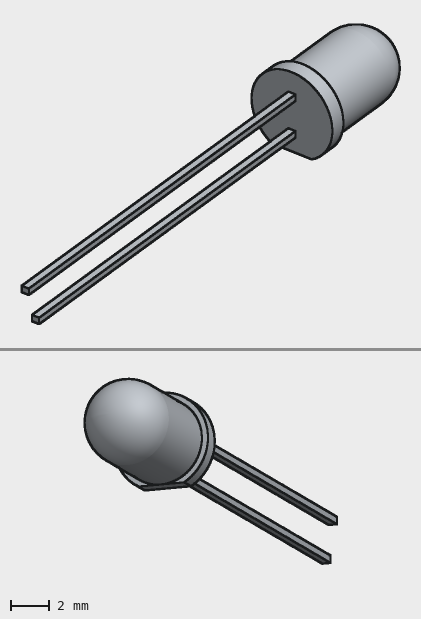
import cadquery as cq

total_length = 30.73
flange_diameter = 5.2
flange_thickness = 0.95
flange_height = 4.85
head_length = 7.77

flange_radius = flange_diameter / 2
lens_radius = flange_height - flange_radius
lens_length = head_length - lens_radius

lead_width = 0.45
lead_thickness = 0.4
lead_spacing = 2.25
long_lead_length = total_length - head_length
lead_length_difference = 0.9
short_lead_length = long_lead_length - lead_length_difference


def make_lens():
    """Cylinder along +Y from the base plane, closed by a hemispherical dome."""
    return (
        cq.Workplane("XY")
        .lineTo(lens_radius, 0)
        .lineTo(lens_radius, lens_length)
        .radiusArc((0, head_length), -lens_radius)
        .close()
        .revolve(360, (0, 0, 0), (0, 1, 0))
    )


def make_flange():
    """Round base disc with a flat on its -Z side."""
    disc = cq.Workplane("XZ").circle(flange_radius).extrude(-flange_thickness)
    trim = cq.Workplane("XY").box(
        flange_diameter, flange_thickness, flange_height, centered=(True, False, False)
    )
    return disc.intersect(trim.translate((0, 0, -lens_radius)))


def make_lead(height, length):
    """Rectangular lead running toward -Y from the base plane."""
    return cq.Workplane("XZ").center(0, height).rect(lead_width, lead_thickness).extrude(length)


result = make_lens().union(make_flange())
for lead_height, lead_length in (
    (lead_spacing / 2, long_lead_length),
    (-lead_spacing / 2, short_lead_length),
):
    result = result.union(make_lead(lead_height, lead_length))